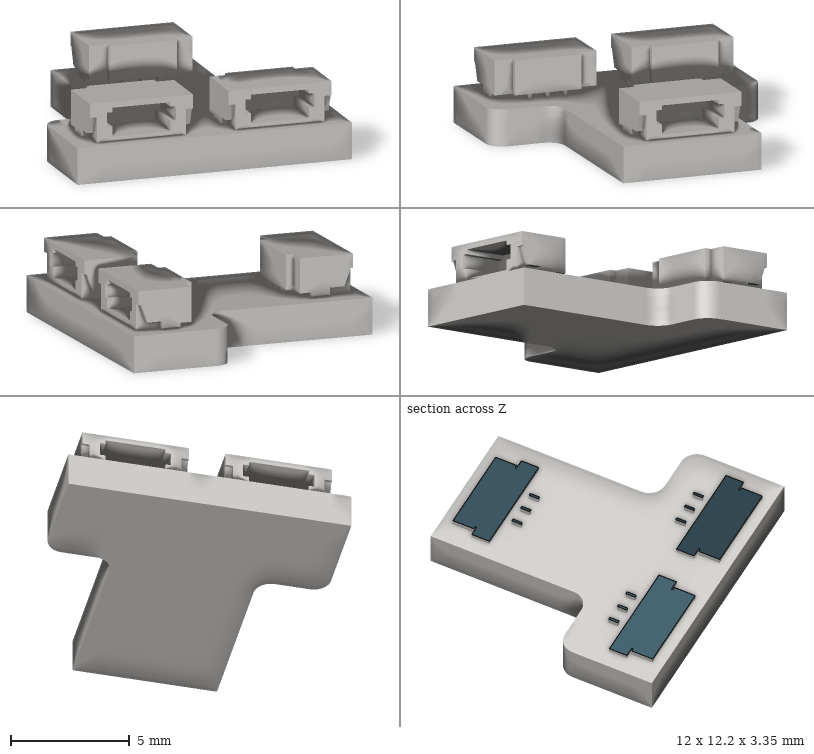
import cadquery as cq

BOARD_LENGTH = 12.0
BOARD_WIDTH = 12.25
BOARD_THICKNESS = 1.6
STEM_WIDTH = 6.25
BAR_LENGTH = 4.5
CORNER_RADIUS = 0.75

TOTAL_HEIGHT = 3.35
CONNECTOR_HEIGHT = TOTAL_HEIGHT - BOARD_THICKNESS
HOUSING_WIDTH = 4.6
HOUSING_DEPTH = 2.4
REAR_BUMP_DEPTH = 0.32
REAR_BUMP_WIDTH = 3.01
BOARD_CLEARANCE = 0.05
REAR_STEP_START = 1.9
REAR_STEP_HEIGHT = 0.22

SOCKET_WIDTH = 2.6
SOCKET_BOTTOM = 0.22
SOCKET_TOP = 1.48
KEYWAY_WIDTH = 3.09
KEYWAY_BOTTOM = 0.66
KEYWAY_TOP = 1.29
SOCKET_DEPTH = 2.0

RECESS_DEPTH = 0.32
RECESS_TOP = 1.13
RECESS_LIP = 0.11
LEDGE_START = 0.39
LEDGE_HEIGHT = 0.35
RECESS_END = 1.05
TAB_END = 1.0
TAB_THICKNESS = 0.13

PIN_COUNT = 3
PIN_PITCH = 0.8
PIN_WIDTH = 0.13
PIN_START = 2.22
PIN_END = 2.67

EDGE_SETBACK = 0.5
STEM_CONNECTOR_Y = -0.11
BAR_CONNECTOR_Y = 3.1


def box(x_range, y_range, z_range):
    """Box spanning the given (start, end) range along each axis."""
    (x0, x1), (y0, y1), (z0, z1) = x_range, y_range, z_range
    return cq.Workplane("XY").box(x1 - x0, y1 - y0, z1 - z0, centered=False).translate((x0, y0, z0))


def centred_box(x_range, width, z_range):
    """Box centred on Y with the given width."""
    return box(x_range, (-width / 2, width / 2), z_range)


def make_board():
    """T-shaped plate with rounded inner and outer corners where the bar leaves the stem."""
    left = -BOARD_LENGTH / 2
    right = BOARD_LENGTH / 2
    bar_left = right - BAR_LENGTH
    stem = box((left, right), (-STEM_WIDTH / 2, STEM_WIDTH / 2), (0, BOARD_THICKNESS))
    bar = box((bar_left, right), (-BOARD_WIDTH / 2, BOARD_WIDTH / 2), (0, BOARD_THICKNESS))
    bar_side_edges = cq.selectors.BoxSelector(
        (bar_left - CORNER_RADIUS, -BOARD_WIDTH, -BOARD_THICKNESS),
        (bar_left + CORNER_RADIUS, BOARD_WIDTH, 2 * BOARD_THICKNESS),
    )
    return stem.union(bar).edges("|Z").edges(bar_side_edges).fillet(CORNER_RADIUS)


def make_housing_block():
    """Solid housing with the rear bump and the raised rear underside."""
    rear = HOUSING_DEPTH + REAR_BUMP_DEPTH
    block = centred_box((0, HOUSING_DEPTH), HOUSING_WIDTH, (BOARD_CLEARANCE, CONNECTOR_HEIGHT))
    bump = centred_box((HOUSING_DEPTH, rear), REAR_BUMP_WIDTH, (REAR_STEP_HEIGHT, CONNECTOR_HEIGHT))
    rear_step = centred_box((REAR_STEP_START, HOUSING_DEPTH), HOUSING_WIDTH, (0, REAR_STEP_HEIGHT))
    return block.cut(rear_step).union(bump)


def make_socket():
    """Cavity of the socket: a rectangle with a groove on each side."""
    opening = centred_box((0, SOCKET_DEPTH), SOCKET_WIDTH, (SOCKET_BOTTOM, SOCKET_TOP))
    keyway = centred_box((0, SOCKET_DEPTH), KEYWAY_WIDTH, (KEYWAY_BOTTOM, KEYWAY_TOP))
    return opening.union(keyway)


def side_profile(end, y_inner, thickness):
    """Prism with the sloped outline of a side recess, running from y_inner towards +Y."""
    outline = [
        (0, 0),
        (0, RECESS_TOP),
        (RECESS_LIP, RECESS_TOP),
        (LEDGE_START, LEDGE_HEIGHT),
        (end, LEDGE_HEIGHT),
        (end, 0),
    ]
    prism = cq.Workplane("XZ").polyline(outline).close().extrude(-thickness)
    return prism.translate((0, y_inner, 0))


def make_connector():
    """One connector: housing, two solder tabs and three pins in a single solid."""
    connector = make_housing_block().cut(make_socket())

    tab_face = HOUSING_WIDTH / 2 - RECESS_DEPTH
    tab_back = tab_face - TAB_THICKNESS
    recess = side_profile(RECESS_END, tab_back, RECESS_DEPTH + TAB_THICKNESS)
    tab = side_profile(TAB_END, tab_back, TAB_THICKNESS)
    connector = connector.cut(recess).cut(recess.mirror("XZ"))
    connector = connector.union(tab).union(tab.mirror("XZ"))

    for index in range(PIN_COUNT):
        pin_y = (index - (PIN_COUNT - 1) / 2) * PIN_PITCH
        pin = centred_box((PIN_START, PIN_END), PIN_WIDTH, (0, REAR_STEP_HEIGHT))
        connector = connector.union(pin.translate((0, pin_y, 0)))
    return connector


face_x = BOARD_LENGTH / 2 - EDGE_SETBACK
placements = [
    (-face_x, STEM_CONNECTOR_Y, 0),
    (face_x, BAR_CONNECTOR_Y, 180),
    (face_x, -BAR_CONNECTOR_Y, 180),
]

board = make_board()
connectors = []
for x, y, angle in placements:
    turned = make_connector().rotate((0, 0, 0), (0, 0, 1), angle)
    connectors.append(turned.translate((x, y, BOARD_THICKNESS)).val())

result = cq.Compound.makeCompound([board.val(), *connectors])